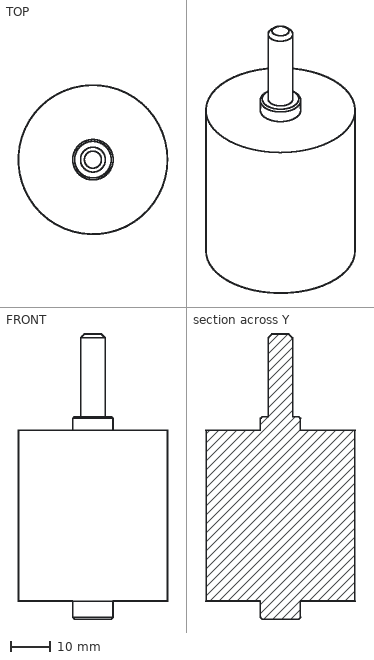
import cadquery as cq

body_diameter = 38.1
body_length = 43.6

collar_diameter = 10.33
top_collar_length = 3.5
bottom_collar_length = 4.65
collar_chamfer = 0.5

overall_length = 72.8
stem_diameter = 6.35
stem_tip_chamfer = 1.0
stem_length = overall_length - bottom_collar_length - body_length - top_collar_length


def cylinder(diameter, length, base_height):
    """Cylinder about the Z axis, standing on the given height."""
    return cq.Workplane("XY", origin=(0, 0, base_height)).circle(diameter / 2).extrude(length)


body = cylinder(body_diameter, body_length, 0)

bottom_collar = (
    cylinder(collar_diameter, bottom_collar_length, -bottom_collar_length)
    .faces("<Z")
    .chamfer(collar_chamfer)
)

top_collar = (
    cylinder(collar_diameter, top_collar_length, body_length)
    .faces(">Z")
    .chamfer(collar_chamfer)
)

stem = (
    cylinder(stem_diameter, stem_length, body_length + top_collar_length)
    .faces(">Z")
    .chamfer(stem_tip_chamfer)
)

result = body.union(bottom_collar).union(top_collar).union(stem)